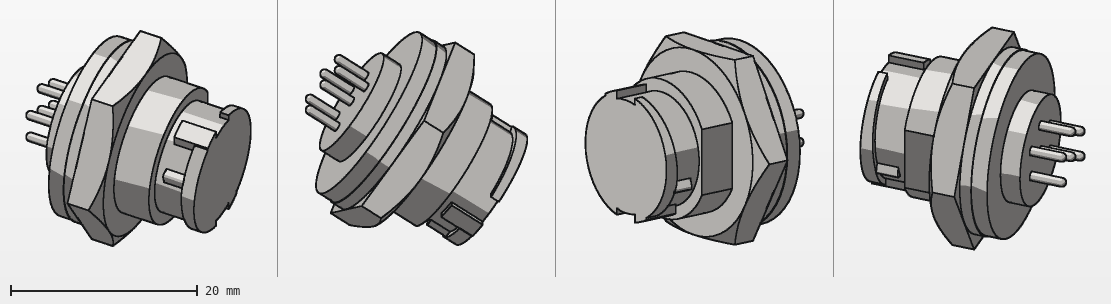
import cadquery as cq
import math


BASE_START = 4.0
FLANGE_START = 6.23
WASHER_START = 8.05
NUT_START = 9.33
NUT_END = 12.82
SHOULDER_END = 16.99
KEY_START = 17.99
RING_START = 20.4
MATING_FACE = 22.0

BASE_RADIUS = 6.14
FLANGE_RADIUS = 10.15
WASHER_RADIUS = 10.25
SHOULDER_RADIUS = 7.7
COLLAR_RADIUS = 6.3
RING_RADIUS = 7.0
KEY_RADIUS = 7.18

SHOULDER_FLAT_Y = 6.78

NUT_ACROSS_CORNERS = 23.8
NUT_CHAMFER_LENGTH = 1.0

PIN_RADIUS = 0.5
PIN_CIRCLE_RADIUS = 3.19
PIN_ANGLES = (-30, 30, 90, 150, 210)

KEY_NEAR_Y = 1.55
KEY_FAR_Y = 3.55
RAMP_TOP_Z = 1.9
RAMP_RISE = 0.57

RIB_TILT = 15
RIB_REACH = 5.4
RIB_TOP = 4.5
RIB_HEIGHT = 1.9
RIB_DEPTH = 1.43
RIB_FILLET = 0.33


def disc(radius, start, end):
    """Solid cylinder on the X axis."""
    return cq.Workplane("YZ", origin=(start, 0, 0)).circle(radius).extrude(end - start)


def block(x_range, y_range, z_range):
    """Axis-aligned box between the given limits."""
    lows, highs = zip(x_range, y_range, z_range)
    sizes = [high - low for low, high in zip(lows, highs)]
    return cq.Workplane("XY").box(*sizes, centered=False).translate(lows)


def with_opposite(shape):
    """The shape together with its copy half a turn round the X axis."""
    return shape.union(shape.rotate((0, 0, 0), (1, 0, 0), 180))


def make_nut():
    corner_radius = NUT_ACROSS_CORNERS / 2
    flat_radius = corner_radius * math.cos(math.radians(30))
    hexagon = (
        cq.Workplane("YZ", origin=(NUT_START, 0, 0))
        .polygon(6, NUT_ACROSS_CORNERS)
        .extrude(NUT_END - NUT_START)
    )
    envelope = (
        cq.Workplane("XY")
        .moveTo(NUT_START, 0)
        .lineTo(NUT_START, corner_radius)
        .lineTo(NUT_END - NUT_CHAMFER_LENGTH, corner_radius)
        .lineTo(NUT_END, flat_radius)
        .lineTo(NUT_END, 0)
        .close()
        .revolve(360, (0, 0, 0), (1, 0, 0))
    )
    return hexagon.intersect(envelope)


def make_shoulder():
    shoulder = disc(SHOULDER_RADIUS, NUT_END, SHOULDER_END)
    below_flat = block(
        (NUT_END, SHOULDER_END),
        (-SHOULDER_RADIUS, SHOULDER_FLAT_Y),
        (-SHOULDER_RADIUS, SHOULDER_RADIUS),
    )
    return shoulder.intersect(below_flat)


def make_pin(y, z):
    shank = disc(PIN_RADIUS, PIN_RADIUS, BASE_START)
    tip = cq.Workplane("XY").sphere(PIN_RADIUS).translate((PIN_RADIUS, 0, 0))
    return shank.union(tip).translate((0, y, z))


def make_key():
    """Key on the +Z side, with flat sides parallel to Z."""
    sides = block((KEY_START, MATING_FACE), (-KEY_FAR_Y, -KEY_NEAR_Y), (0, KEY_RADIUS))
    return disc(KEY_RADIUS, KEY_START, MATING_FACE).intersect(sides)


def make_locking_ring():
    """Ring segment on the -Y side, thinned by a flat ramp towards -Z."""
    ramp_bottom_z = -math.sqrt(RING_RADIUS**2 - KEY_NEAR_Y**2)
    ring_profile = (
        cq.Workplane("XZ", origin=(0, -KEY_NEAR_Y, 0))
        .moveTo(MATING_FACE, RING_RADIUS)
        .lineTo(RING_START, RING_RADIUS)
        .lineTo(RING_START, RAMP_TOP_Z)
        .lineTo(RING_START + RAMP_RISE, ramp_bottom_z)
        .lineTo(MATING_FACE, ramp_bottom_z)
        .close()
        .extrude(RING_RADIUS)
    )
    return disc(RING_RADIUS, RING_START, MATING_FACE).intersect(ring_profile)


def make_stop_rib():
    """Bar on the -Y side, between the key and the ramp."""
    bar = block(
        (KEY_START, RING_START),
        (-RIB_REACH, RIB_DEPTH - RIB_REACH),
        (RIB_TOP - RIB_HEIGHT, RIB_TOP),
    )
    rounded = bar.edges("|X and <Y and >Z").fillet(RIB_FILLET)
    return rounded.rotate((0, 0, 0), (1, 0, 0), RIB_TILT)


body = disc(BASE_RADIUS, BASE_START, FLANGE_START)
body = body.union(disc(FLANGE_RADIUS, FLANGE_START, WASHER_START))
body = body.union(disc(WASHER_RADIUS, WASHER_START, NUT_START))
body = body.union(make_nut())
body = body.union(make_shoulder())
body = body.union(disc(COLLAR_RADIUS, SHOULDER_END, MATING_FACE))

for feature in (make_key(), make_locking_ring(), make_stop_rib()):
    body = body.union(with_opposite(feature))

body = body.union(make_pin(0, 0))
for angle in PIN_ANGLES:
    pin_y = PIN_CIRCLE_RADIUS * math.cos(math.radians(angle))
    pin_z = PIN_CIRCLE_RADIUS * math.sin(math.radians(angle))
    body = body.union(make_pin(pin_y, pin_z))

result = body